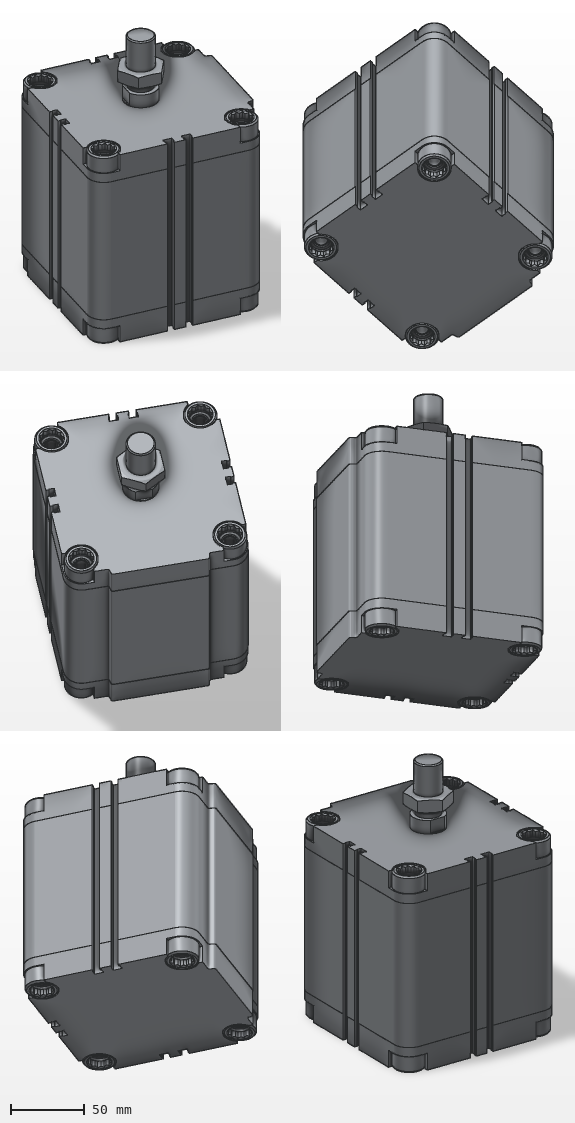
import cadquery as cq
import math

body_width = 128.0
half_width = body_width / 2
body_height = 146.5
cap_height = 19.5
cap_inset = 0.1
corner_radius = 12.5
bolt_offset = half_width - corner_radius

band_height = 5.0
band_top_half_width = 34.0
band_foot_half_width = 35.0
band_edge_radius = 1.6
band_foot_radius = 1.6
cap_band_drop = 0.2

slot_spacing = 13.7
lip_width = 5.2
lip_depth = 2.4
pocket_width = 6.4
slot_depth = 6.0

head_diameter = 23.0
head_top_diameter = 20.8
head_chamfer_height = 1.3
notch_depth = 12.5
notch_size = 19.0
socket_mouth_diameter = 17.4
socket_tip_diameter = 16.5
socket_relief_diameter = 15.4
socket_teeth = 12
socket_inner_diameter = socket_tip_diameter * math.cos(math.pi / 6) / math.cos(math.pi / 12)
socket_mouth_depth = (socket_mouth_diameter - socket_inner_diameter) / 2
toothed_depth = 5.5
socket_depth = 7.5
bore_diameter = 8.38
countersink_diameter = 11.45
countersink_floor_diameter = 10.0
countersink_depth = (countersink_diameter - countersink_floor_diameter) / 2

shoulder_diameter = 25.0
shoulder_height = 10.0
shoulder_flats = 22.0
flats_base_height = 0.6
thread_diameter = 20.0
thread_root_diameter = 18.16
thread_length = 40.0
thread_chamfer = (thread_diameter - thread_root_diameter) / 2
undercut_length = 3.3

nut_across_flats = 30.0
nut_height = 9.6
nut_above_housing = 16.9
nut_face_diameter = 29.0
nut_chamfer_angle = 12.0


def slot_pair(height):
    """Two T-shaped slots open to the -Y side."""
    cutter = cq.Workplane("XY")
    pocket_length = slot_depth - lip_depth
    for side in (-1, 1):
        slot = cq.Workplane("XY").center(side * slot_spacing / 2, -half_width + slot_depth / 2)
        lip = slot.rect(lip_width, slot_depth).extrude(height)
        pocket = slot.center(0, lip_depth / 2).rect(pocket_width, pocket_length).extrude(height)
        cutter = cutter.add(lip).add(pocket)
    return cutter.combine()


def raised_band(height, inset, drop):
    """Raised band on the +Y side with sloping flanks, rounded at the edge and at the foot."""
    side = half_width - corner_radius
    foot = half_width - inset
    top = half_width + band_height - inset - drop
    foot_x = band_foot_half_width - inset
    top_x = band_top_half_width - inset
    profile = (
        cq.Workplane("XY")
        .moveTo(-side, side)
        .lineTo(-side, foot)
        .lineTo(-foot_x, foot)
        .lineTo(-top_x, top)
        .lineTo(top_x, top)
        .lineTo(foot_x, foot)
        .lineTo(side, foot)
        .lineTo(side, side)
        .close()
        .extrude(height)
    )
    mid_height = height / 2
    for x, y, radius in ((top_x, top, band_edge_radius), (foot_x, foot, band_foot_radius)):
        for edge_x in (-x, x):
            nearest = cq.selectors.NearestToPointSelector((edge_x, y, mid_height))
            profile = profile.edges("|Z").edges(nearest).fillet(radius)
    return profile


def housing_layer(bottom, height, inset=0.0, drop=0.0):
    """One slice of the extruded housing with its band and slots."""
    width = body_width - 2 * inset
    layer = (
        cq.Workplane("XY")
        .rect(width, width)
        .extrude(height)
        .edges("|Z")
        .fillet(corner_radius - inset)
        .union(raised_band(height, inset, drop))
    )
    for angle in (-90, 0, 90):
        layer = layer.cut(slot_pair(height).rotate((0, 0, 0), (0, 0, 1), angle))
    return layer.translate((0, 0, bottom))


def corner_notch():
    """Notch around the upper end of one corner bolt, open to both outer sides."""
    notch_edge = half_width - notch_size
    floor = body_height - notch_depth
    square = (
        cq.Workplane("XY", origin=(0, 0, floor))
        .rect(notch_size, notch_size)
        .extrude(notch_depth)
        .translate((notch_edge + notch_size / 2, notch_edge + notch_size / 2, 0))
    )
    round_part = (
        cq.Workplane("XY", origin=(bolt_offset, bolt_offset, floor))
        .circle(head_diameter / 2)
        .extrude(notch_depth)
    )
    return square.union(round_part)


def bolt_head():
    """Screw head, chamfered at its rim and flush with the top face."""
    radius = head_diameter / 2
    return (
        cq.Workplane("XZ")
        .moveTo(0, body_height - notch_depth)
        .lineTo(radius, body_height - notch_depth)
        .lineTo(radius, body_height - head_chamfer_height)
        .lineTo(head_top_diameter / 2, body_height)
        .lineTo(0, body_height)
        .close()
        .revolve(360, (0, 0), (0, 1))
        .translate((bolt_offset, bolt_offset, 0))
    )


def socket():
    """Twelve-point socket with a conical mouth, a round relief and a countersunk bore below it."""
    points = []
    for i in range(2 * socket_teeth):
        angle = math.pi * i / socket_teeth
        radius = (socket_inner_diameter if i % 2 else socket_tip_diameter) / 2
        points.append((radius * math.cos(angle), radius * math.sin(angle)))
    star_bottom = body_height - toothed_depth
    star = cq.Workplane("XY", origin=(0, 0, star_bottom)).polyline(points).close().extrude(toothed_depth)
    floor = body_height - socket_depth
    countersink_floor = floor - countersink_depth
    round_part = (
        cq.Workplane("XZ")
        .moveTo(0, body_height / 2)
        .lineTo(bore_diameter / 2, body_height / 2)
        .lineTo(bore_diameter / 2, countersink_floor)
        .lineTo(countersink_floor_diameter / 2, countersink_floor)
        .lineTo(countersink_diameter / 2, floor)
        .lineTo(socket_relief_diameter / 2, floor)
        .lineTo(socket_relief_diameter / 2, star_bottom)
        .lineTo(socket_inner_diameter / 2, star_bottom)
        .lineTo(socket_inner_diameter / 2, body_height - socket_mouth_depth)
        .lineTo(socket_mouth_diameter / 2, body_height)
        .lineTo(0, body_height)
        .close()
        .revolve(360, (0, 0), (0, 1))
    )
    return star.union(round_part).translate((bolt_offset, bolt_offset, 0))


def both_ends_all_corners(feature):
    """Copies of an upper corner feature at the four corners of both ends."""
    lower = feature.mirror("XY", (0, 0, body_height / 2))
    copies = []
    for quarter in range(4):
        for end in (feature, lower):
            copies.append(end.rotate((0, 0, 0), (0, 0, 1), 90 * quarter))
    return copies


def make_housing():
    tube_height = body_height - 2 * cap_height
    housing = housing_layer(cap_height, tube_height)
    for bottom in (0, body_height - cap_height):
        housing = housing.union(housing_layer(bottom, cap_height, cap_inset, cap_band_drop))
    for notch in both_ends_all_corners(corner_notch()):
        housing = housing.cut(notch)
    for head in both_ends_all_corners(bolt_head()):
        housing = housing.union(head)
    for opening in both_ends_all_corners(socket()):
        housing = housing.cut(opening)
    return housing


def make_piston_rod():
    thread_radius = thread_diameter / 2
    root_radius = thread_root_diameter / 2
    rod_end = shoulder_height + thread_length
    undercut_end = shoulder_height + undercut_length
    rod = (
        cq.Workplane("XZ")
        .lineTo(shoulder_diameter / 2, 0)
        .lineTo(shoulder_diameter / 2, shoulder_height)
        .lineTo(root_radius, shoulder_height)
        .lineTo(root_radius, undercut_end)
        .lineTo(thread_radius, undercut_end + thread_chamfer)
        .lineTo(thread_radius, rod_end - thread_chamfer)
        .lineTo(root_radius, rod_end)
        .lineTo(0, rod_end)
        .close()
        .revolve(360, (0, 0), (0, 1))
    )
    flats = (
        cq.Workplane("XY", origin=(0, 0, flats_base_height))
        .rect(2 * shoulder_diameter, 2 * shoulder_diameter)
        .rect(shoulder_diameter, shoulder_flats)
        .extrude(shoulder_height - flats_base_height)
    )
    return rod.cut(flats).translate((0, 0, body_height))


def make_nut():
    corner_diameter = nut_across_flats / math.cos(math.pi / 6)
    rim = corner_diameter / 2
    face = nut_face_diameter / 2
    drop = (rim - face) * math.tan(math.radians(nut_chamfer_angle))
    envelope = (
        cq.Workplane("XZ")
        .lineTo(face, 0)
        .lineTo(rim, drop)
        .lineTo(rim, nut_height - drop)
        .lineTo(face, nut_height)
        .lineTo(0, nut_height)
        .close()
        .revolve(360, (0, 0), (0, 1))
    )
    nut = (
        cq.Workplane("XY")
        .polygon(6, corner_diameter)
        .extrude(nut_height)
        .rotate((0, 0, 0), (0, 0, 1), 30)
        .intersect(envelope)
        .faces(">Z")
        .workplane()
        .hole(thread_diameter)
    )
    return nut.translate((0, 0, body_height + nut_above_housing))


housing = make_housing()
piston_rod = make_piston_rod()
nut = make_nut()
result = cq.Compound.makeCompound([housing.val(), piston_rod.val(), nut.val()])